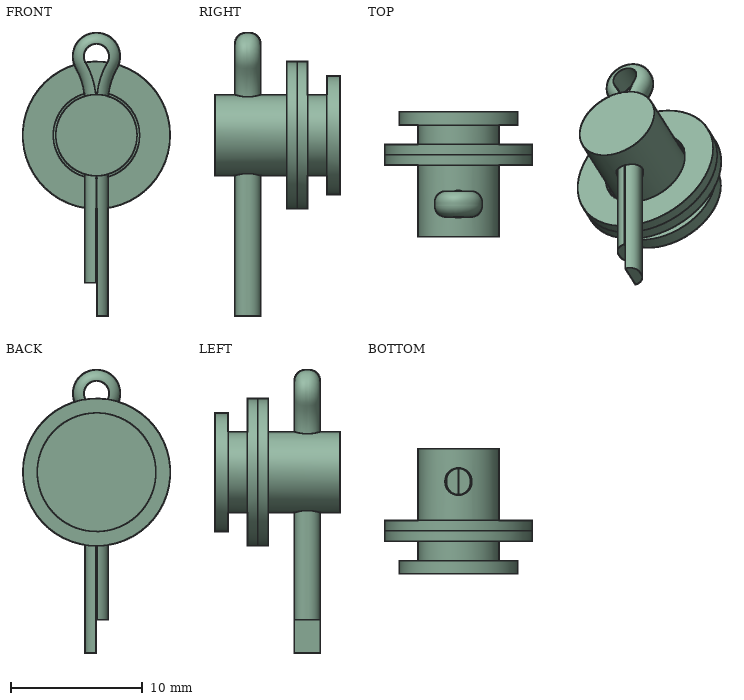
import cadquery as cq
import math


pin_length = 9.5
pin_diameter = 6.17
head_diameter = 9.0
head_thickness = 1.0
cotter_hole_diameter = 2.05
cotter_y = 2.5

washer_count = 2
washer_diameter = 11.2
washer_bore = 6.55
washer_thickness = 0.8
head_to_washer_gap = 1.46

wire_thickness = 0.85
wire_flat = 0.25
leg_gap = 0.06
loop_inner_radius = 0.95
cotter_length = 21.5
cotter_top_z = 7.78
leg_length_difference = 2.52
bend_angle = math.radians(30)

loop_z = cotter_top_z - wire_thickness - loop_inner_radius
long_leg_z = cotter_top_z - cotter_length
short_leg_z = long_leg_z + leg_length_difference


def cylinder_along_y(diameter, start_y, length):
    plane = cq.Workplane("XZ", origin=(0, start_y, 0))
    return plane.circle(diameter / 2).extrude(-length)


def make_pin():
    """Headed pin with a vertical cross hole for the cotter."""
    shank = cylinder_along_y(pin_diameter, 0, pin_length)
    head = cylinder_along_y(head_diameter, pin_length - head_thickness, head_thickness)
    cotter_hole = (
        cq.Workplane("XY", origin=(0, cotter_y, -pin_diameter / 2))
        .circle(cotter_hole_diameter / 2)
        .extrude(pin_diameter)
    )
    return shank.union(head).cut(cotter_hole)


def make_washer(start_y):
    disc = cylinder_along_y(washer_diameter, start_y, washer_thickness)
    return disc.cut(cylinder_along_y(washer_bore, start_y, washer_thickness))


def make_cotter():
    """Cotter pin swept along the inner face of its wire."""
    leg_x = leg_gap / 2

    neck_radius = (loop_inner_radius * math.cos(bend_angle) - leg_x) / (1 - math.cos(bend_angle))
    neck_center_x = leg_x + neck_radius
    neck_bottom_z = loop_z - (loop_inner_radius + neck_radius) * math.sin(bend_angle)
    neck_mid_x = neck_center_x - neck_radius * math.cos(bend_angle / 2)
    neck_mid_z = neck_bottom_z + neck_radius * math.sin(bend_angle / 2)
    neck_top_x = loop_inner_radius * math.cos(bend_angle)
    neck_top_z = loop_z - loop_inner_radius * math.sin(bend_angle)

    path = (
        cq.Workplane("XZ", origin=(0, cotter_y, 0))
        .moveTo(leg_x, long_leg_z)
        .lineTo(leg_x, neck_bottom_z)
        .threePointArc((neck_mid_x, neck_mid_z), (neck_top_x, neck_top_z))
        .threePointArc((0, loop_z + loop_inner_radius), (-neck_top_x, neck_top_z))
        .threePointArc((-neck_mid_x, neck_mid_z), (-leg_x, neck_bottom_z))
        .lineTo(-leg_x, short_leg_z)
    )

    half_flat = wire_flat / 2
    half_width = half_flat + wire_thickness
    outer_x = leg_x + wire_thickness
    arc_mid = wire_thickness * math.sqrt(0.5)
    wire_section = (
        cq.Workplane("XY", origin=(0, cotter_y, long_leg_z))
        .moveTo(leg_x, -half_width)
        .threePointArc((leg_x + arc_mid, -half_flat - arc_mid), (outer_x, -half_flat))
        .lineTo(outer_x, half_flat)
        .threePointArc((leg_x + arc_mid, half_flat + arc_mid), (leg_x, half_width))
        .close()
    )
    return wire_section.sweep(path)


pin = make_pin()
cotter = make_cotter()

washer_stack_end_y = pin_length - head_thickness - head_to_washer_gap
washers = []
for index in range(washer_count):
    washer_start_y = washer_stack_end_y - (index + 1) * washer_thickness
    washers.append(make_washer(washer_start_y))

result = cq.Compound.makeCompound([pin.val(), cotter.val(), *[washer.val() for washer in washers]])